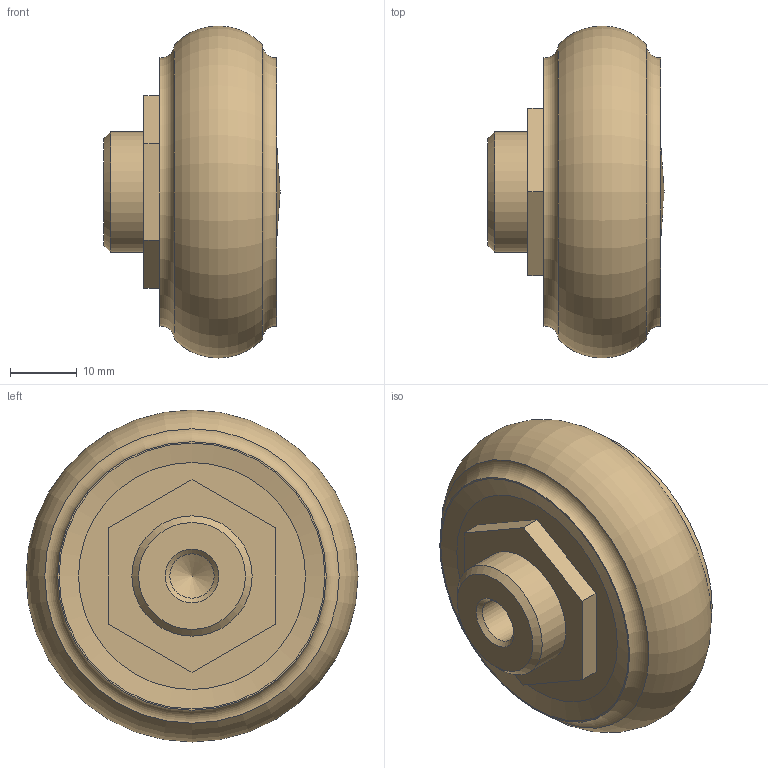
import cadquery as cq
import math

HUB_LENGTH = 6.0
HEX_HEIGHT = 2.4
WHEEL_WIDTH = 17.5
CAP_HEIGHT = 0.5
RIM_START = HUB_LENGTH + HEX_HEIGHT
RIM_END = RIM_START + WHEEL_WIDTH
WHEEL_MIDDLE = (RIM_START + RIM_END) / 2

WHEEL_RADIUS = 24.86
TREAD_HALF_WIDTH = 6.6
TREAD_EDGE_RADIUS = 22.05
RIM_RADIUS = 20.1
DISH_EDGE_RADIUS = 19.9
COVE_RADIUS = 2.0
DISH_FLOOR_RADIUS = 17.0
DISH_DEPTH = 0.5
CAP_RADIUS = 7.0

HEX_ACROSS_FLATS = 25.0
HUB_RADIUS = 9.0
HUB_CHAMFER = 1.0

HOLE_RADIUS = 6.65 / 2
HOLE_DEPTH = 12.0
COUNTERSINK_RADIUS = 4.0
DRILL_POINT_ANGLE = 118.0


def revolve_about_x(profile):
    """Turn a closed (x, radius) profile once around the X axis."""
    return profile.close().revolve(360, (0, 0, 0), (1, 0, 0))


def make_wheel():
    """Wheel with a rounded tread, coved shoulders, a dished hub side and a low conical cap."""
    dish_floor = RIM_START + DISH_DEPTH
    tread_start = WHEEL_MIDDLE - TREAD_HALF_WIDTH
    tread_end = WHEEL_MIDDLE + TREAD_HALF_WIDTH
    profile = (
        cq.Workplane("XY")
        .moveTo(dish_floor, 0)
        .lineTo(dish_floor, DISH_FLOOR_RADIUS)
        .lineTo(RIM_START, DISH_EDGE_RADIUS)
        .lineTo(RIM_START, RIM_RADIUS)
        .radiusArc((tread_start, TREAD_EDGE_RADIUS), -COVE_RADIUS)
        .threePointArc((WHEEL_MIDDLE, WHEEL_RADIUS), (tread_end, TREAD_EDGE_RADIUS))
        .radiusArc((RIM_END, RIM_RADIUS), -COVE_RADIUS)
        .lineTo(RIM_END, CAP_RADIUS)
        .lineTo(RIM_END + CAP_HEIGHT, 0)
    )
    return revolve_about_x(profile)


def make_hexagon():
    """Hexagon with corners on +Z and -Z, rooted in the dish floor."""
    across_corners = HEX_ACROSS_FLATS / math.cos(math.radians(30))
    return (
        cq.Workplane("YZ", origin=(HUB_LENGTH, 0, 0))
        .transformed(rotate=(0, 0, 90))
        .polygon(6, across_corners)
        .extrude(HEX_HEIGHT + DISH_DEPTH)
    )


def make_hub():
    """Round hub with a chamfered free end."""
    hub = cq.Workplane("YZ").circle(HUB_RADIUS).extrude(HUB_LENGTH)
    return hub.faces("<X").chamfer(HUB_CHAMFER)


def make_hole():
    """Blind countersunk hole with a drill-point bottom."""
    countersink_depth = COUNTERSINK_RADIUS - HOLE_RADIUS
    point_length = HOLE_RADIUS / math.tan(math.radians(DRILL_POINT_ANGLE / 2))
    profile = (
        cq.Workplane("XY")
        .lineTo(0, COUNTERSINK_RADIUS)
        .lineTo(countersink_depth, HOLE_RADIUS)
        .lineTo(HOLE_DEPTH, HOLE_RADIUS)
        .lineTo(HOLE_DEPTH + point_length, 0)
    )
    return revolve_about_x(profile)


result = make_wheel().union(make_hexagon()).union(make_hub()).cut(make_hole())